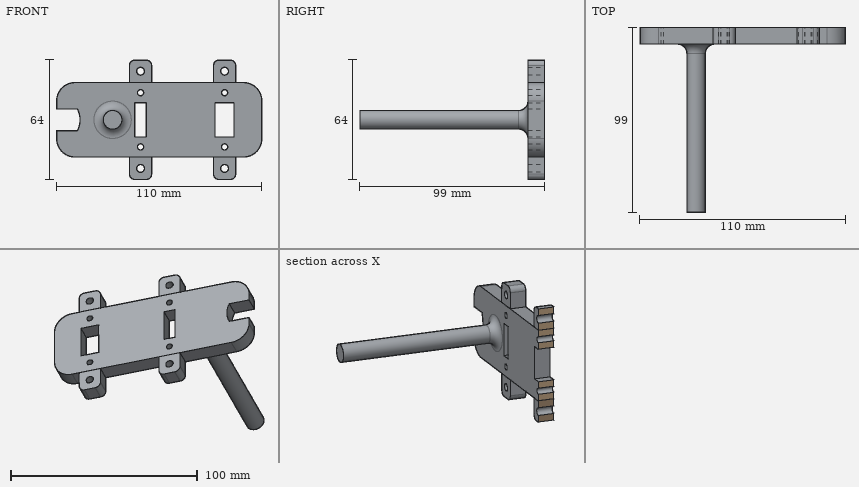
import cadquery as cq

plate_length = 110.0
plate_height = 40.0
plate_thickness = 9.0
plate_corner_radius = 10.0

notch_height = 11.5
notch_bottom_radius = 12.5

overall_depth = 99.0
peg_length = overall_depth - plate_thickness
peg_diameter = 10.0
peg_root_radius = peg_diameter / 2
peg_x = 30.0

first_station_x = 45.0
second_station_x = 2 * first_station_x
station_positions = [first_station_x, second_station_x]
window_height = 18.2
window_widths = [6.0, 10.0]
screw_hole_diameter = 3.2
screw_hole_spacing = 29.0

tab_size = 12.0
tab_corner_radius = 3.0
tab_hole_diameter = 4.1


def back_plane():
    """XZ sketch plane on the back face; extrusions run forward, toward -Y."""
    return cq.Workplane("XZ", origin=(0, plate_thickness, 0))


def make_notch_cutter():
    band = back_plane().rect(2 * notch_bottom_radius, notch_height).extrude(plate_thickness)
    disc = back_plane().circle(notch_bottom_radius).extrude(plate_thickness)
    return band.intersect(disc)


def make_window_cutter(x, width):
    return back_plane().center(x, 0).rect(width, window_height).extrude(plate_thickness)


def make_screw_hole_cutter(x):
    hole_centres = [(x, side * screw_hole_spacing / 2) for side in (1, -1)]
    return (
        back_plane()
        .pushPoints(hole_centres)
        .circle(screw_hole_diameter / 2)
        .extrude(plate_thickness)
    )


def make_peg():
    """Revolve half of the peg, flared root included, about the peg axis."""
    peg_radius = peg_diameter / 2
    flare_radius = peg_radius + peg_root_radius
    arc_mid_inset = peg_root_radius * (1 - 0.5 ** 0.5)
    return (
        cq.Workplane("XY", origin=(peg_x, 0, 0))
        .lineTo(flare_radius, 0)
        .threePointArc((peg_radius + arc_mid_inset, -arc_mid_inset), (peg_radius, -peg_root_radius))
        .lineTo(peg_radius, -peg_length)
        .lineTo(0, -peg_length)
        .close()
        .revolve(360, (0, 0, 0), (0, 1, 0))
    )


def make_plate():
    """Plate and peg in one piece."""
    plate = (
        back_plane()
        .center(plate_length / 2, 0)
        .rect(plate_length, plate_height)
        .extrude(plate_thickness)
        .edges("|Y")
        .fillet(plate_corner_radius)
        .cut(make_notch_cutter())
    )
    for x, width in zip(station_positions, window_widths):
        plate = plate.cut(make_window_cutter(x, width))
        plate = plate.cut(make_screw_hole_cutter(x))
    return plate.union(make_peg())


def make_tab(x, side):
    """Tab on the top edge (side = 1) or the bottom edge (side = -1)."""
    outer_face = ">Z" if side > 0 else "<Z"
    tab_z = side * (plate_height + tab_size) / 2
    tab = (
        back_plane()
        .center(x, tab_z)
        .rect(tab_size, tab_size)
        .extrude(plate_thickness)
        .faces(outer_face)
        .edges("|Y")
        .fillet(tab_corner_radius)
    )
    hole = back_plane().center(x, tab_z).circle(tab_hole_diameter / 2).extrude(plate_thickness)
    return tab.cut(hole)


plate = make_plate()
tabs = [make_tab(x, side) for x in station_positions for side in (1, -1)]

result = cq.Compound.makeCompound([plate.solids().val(), *[tab.solids().val() for tab in tabs]])